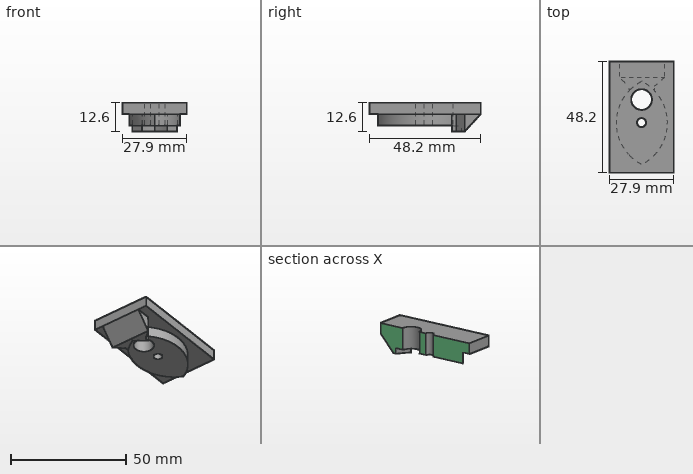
import cadquery as cq
import math

plate_width = 27.95
plate_length = 48.25
plate_thickness = 5.0
plate_back = plate_length / 2

boss_half_width = 11.05
boss_half_length = 18.05
boss_depth = 5.0
boss_center_y = -2.4
boss_radius = (boss_half_width**2 + boss_half_length**2) / (2 * boss_half_width)
boss_arc_offset = boss_radius - boss_half_width

part_height = 12.55
claw_depth = part_height - plate_thickness
claw_half_width = 9.75
claw_shoulder_y = 17.2
claw_root_half_width = 5.6
claw_root_y = 13.5
claw_tip_half_width = 5.4

large_hole_diameter = 8.9
large_hole_y = 7.6
small_hole_diameter = 3.8
small_hole_y = boss_center_y


def boss_edge_y(x):
    """Y of the rear edge of the pointed oval at a distance x from its axis."""
    return boss_center_y + math.sqrt(boss_radius**2 - (x + boss_arc_offset) ** 2)


def make_plate():
    return cq.Workplane("XY").box(
        plate_width, plate_length, plate_thickness, centered=(True, True, False)
    ).translate((0, 0, -plate_thickness))


def make_boss():
    front_point = (0, boss_center_y - boss_half_length)
    rear_point = (0, boss_center_y + boss_half_length)
    return (
        cq.Workplane("XY", origin=(0, 0, -plate_thickness))
        .moveTo(*front_point)
        .threePointArc((boss_half_width, boss_center_y), rear_point)
        .threePointArc((-boss_half_width, boss_center_y), front_point)
        .close()
        .extrude(-boss_depth)
    )


def make_claw():
    rear_point = (0, boss_center_y + boss_half_length)
    arc_middle_x = claw_tip_half_width / 2
    arc_middle_y = boss_edge_y(arc_middle_x)
    tip_y = boss_edge_y(claw_tip_half_width)
    body = (
        cq.Workplane("XY", origin=(0, 0, -plate_thickness))
        .moveTo(-claw_half_width, plate_back)
        .lineTo(-claw_half_width, claw_shoulder_y)
        .lineTo(-claw_root_half_width, claw_root_y)
        .lineTo(-claw_tip_half_width, tip_y)
        .threePointArc((-arc_middle_x, arc_middle_y), rear_point)
        .threePointArc((arc_middle_x, arc_middle_y), (claw_tip_half_width, tip_y))
        .lineTo(claw_root_half_width, claw_root_y)
        .lineTo(claw_half_width, claw_shoulder_y)
        .lineTo(claw_half_width, plate_back)
        .close()
        .extrude(-claw_depth)
    )
    slope_cut = (
        cq.Workplane("YZ")
        .moveTo(plate_back, -plate_thickness)
        .lineTo(claw_shoulder_y, -part_height)
        .lineTo(plate_back, -part_height)
        .close()
        .extrude(claw_half_width, both=True)
    )
    return body.cut(slope_cut)


def make_hole(diameter, y):
    return cq.Workplane("XY").center(0, y).circle(diameter / 2).extrude(-part_height)


result = make_plate().union(make_boss()).union(make_claw())
for hole_diameter, hole_y in (
    (large_hole_diameter, large_hole_y),
    (small_hole_diameter, small_hole_y),
):
    result = result.cut(make_hole(hole_diameter, hole_y))